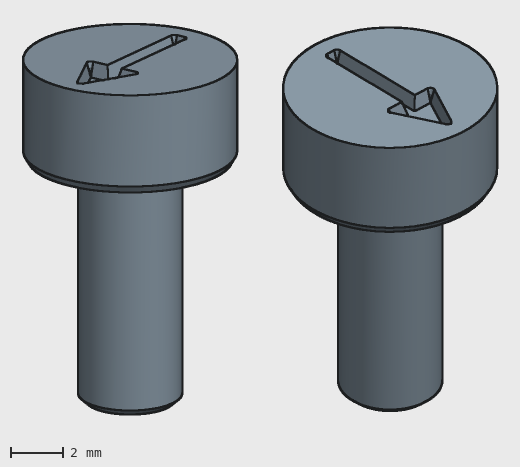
import cadquery as cq
import math

total_length = 13.8
head_diameter = 8.2
head_height = 4.0
shank_diameter = 4.0

head_bevel_height = 0.3
head_bevel_angle = 30.0

neck_height = 0.2
neck_depth = 0.05

tip_chamfer_width = 0.3
tip_chamfer_height = 0.28

arrow_depth = 0.6
arrow_wall_draft = 15.0
arrow_tail_y = 3.16
arrow_barb_y = -1.17
arrow_tip_y = -3.2
arrow_stem_width = 0.36
arrow_barb_width = 2.01


def make_body():
    """Revolve head, neck and shank about the Z axis."""
    head_radius = head_diameter / 2
    shank_radius = shank_diameter / 2
    neck_radius = shank_radius - neck_depth
    head_bottom = total_length - head_height
    neck_bottom = head_bottom - neck_height
    head_bevel_width = head_bevel_height * math.tan(math.radians(head_bevel_angle))

    return (
        cq.Workplane("XZ")
        .lineTo(shank_radius - tip_chamfer_width, 0)
        .lineTo(shank_radius, tip_chamfer_height)
        .lineTo(shank_radius, neck_bottom)
        .lineTo(neck_radius, head_bottom)
        .lineTo(head_radius - head_bevel_width, head_bottom)
        .lineTo(head_radius, head_bottom + head_bevel_height)
        .lineTo(head_radius, total_length)
        .lineTo(0, total_length)
        .close()
        .revolve(360, (0, 0), (0, 1))
    )


def make_arrow_cutter():
    """Arrow with a sharp outline on the floor and walls flaring outward to the head face."""
    half_stem = arrow_stem_width / 2
    half_barb = arrow_barb_width / 2
    floor_z = total_length - arrow_depth

    return (
        cq.Workplane("XY", origin=(0, 0, floor_z))
        .moveTo(-half_stem, arrow_tail_y)
        .lineTo(-half_stem, arrow_barb_y)
        .lineTo(-half_barb, arrow_barb_y)
        .lineTo(0, arrow_tip_y)
        .lineTo(half_barb, arrow_barb_y)
        .lineTo(half_stem, arrow_barb_y)
        .lineTo(half_stem, arrow_tail_y)
        .close()
        .extrude(arrow_depth, taper=-arrow_wall_draft)
    )


result = make_body().cut(make_arrow_cutter())